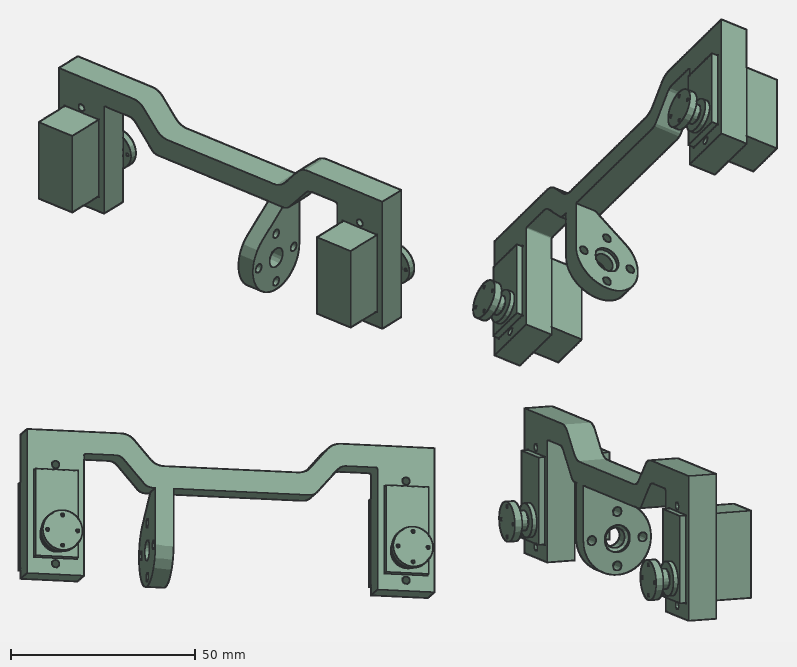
import cadquery as cq
import math


bracket_width = 113.6
bracket_height = 40.0
bracket_depth = 8.2
leg_width = 15.9
bar_thickness = 6.1
bar_drop = 8.5
slope_run = 7.5
top_slope_start = 28.4
under_slope_start = 26.0
top_bend_radius = 5.0
under_bend_radius = 3.0
leg_corner_radius = 0.6

lug_width = 5.1
lug_left = 15.9
lug_radius = 10.0
lug_tangent_angle = 53.0
lug_bore_diameter = 5.6
lug_counterbore_diameter = 7.5
lug_counterbore_depth = 0.9
lug_cone_depth = 0.6
lug_screw_diameter = 2.5
lug_screw_circle_radius = 7.5

servo_width = 11.8
servo_height = 24.1
servo_length = 21.0
servo_rear = bracket_depth + 1.7
servo_center_z = 16.7
shaft_offset = 6.1
servo_boss_diameter = 9.4
servo_boss_length = 1.4
shaft_diameter = 4.5
shaft_length = 2.3
window_clearance = 0.17
mount_hole_diameter = 2.0
mount_hole_spacing = 27.5

horn_disc_diameter = 11.0
horn_disc_thickness = 2.2
horn_hub_diameter = 5.6
horn_hub_length = 3.0
horn_hub_gap = 0.3
horn_hole_diameter = 0.86
horn_hole_circle_radius = 4.2

half_width = bracket_width / 2
leg_center_x = half_width - leg_width / 2
bar_top = bracket_height - bar_drop
bar_underside = bar_top - bar_thickness
arch_underside = bracket_height - bar_thickness
lug_center_y = bracket_depth - lug_radius
lug_center_z = lug_radius
shaft_z = servo_center_z - shaft_offset
boss_rear = servo_rear + servo_boss_length
leg_centers = (-leg_center_x, leg_center_x)


def cylinder_along_y(diameter, length, x, y, z):
    """Cylinder that starts at (x, y, z) and runs toward +Y."""
    return cq.Workplane(cq.Solid.makeCylinder(diameter / 2, length, cq.Vector(x, y, z), cq.Vector(0, 1, 0)))


def make_frame():
    """Legs and dipped bar, with its bends rounded."""
    top_outer = half_width - top_slope_start
    top_inner = top_outer - slope_run
    under_outer = half_width - under_slope_start
    under_inner = under_outer - slope_run
    leg_inner = half_width - leg_width
    right_half = [
        (top_inner, bar_top),
        (top_outer, bracket_height),
        (half_width, bracket_height),
        (half_width, 0),
        (leg_inner, 0),
        (leg_inner, arch_underside),
        (under_outer, arch_underside),
        (under_inner, bar_underside),
    ]
    left_half = [(-x, z) for x, z in reversed(right_half)]
    frame = cq.Workplane("XZ").polyline(right_half + left_half).close().extrude(-bracket_depth)

    def bend(workpiece, x, z, radius):
        corners = cq.selectors.BoxSelector((x - 0.1, -1.1, z - 0.1), (x + 0.1, bracket_depth + 1.1, z + 0.1))
        return workpiece.edges("|Y").edges(corners).fillet(radius)

    for side in (-1, 1):
        frame = bend(frame, side * top_outer, bracket_height, top_bend_radius)
        frame = bend(frame, side * top_inner, bar_top, top_bend_radius)
        frame = bend(frame, side * under_outer, arch_underside, under_bend_radius)
        frame = bend(frame, side * under_inner, bar_underside, under_bend_radius)
        frame = bend(frame, side * leg_inner, arch_underside, leg_corner_radius)
    return frame


def make_lug():
    """Teardrop lug with a counterbored bore and four screw holes around it."""
    angle = math.radians(lug_tangent_angle)
    tangent_y = lug_center_y - lug_radius * math.cos(angle)
    tangent_z = lug_center_z + lug_radius * math.sin(angle)
    root_y = tangent_y + (bar_underside - tangent_z) * math.tan(angle)
    lug = (
        cq.Workplane("YZ", origin=(lug_left, 0, 0))
        .moveTo(root_y, bar_underside)
        .lineTo(tangent_y, tangent_z)
        .threePointArc((lug_center_y, lug_center_z - lug_radius), (bracket_depth, lug_center_z))
        .lineTo(bracket_depth, bar_underside)
        .close()
        .extrude(lug_width)
    )
    left_face = cq.Workplane("YZ", origin=(lug_left, lug_center_y, lug_center_z))
    bore = left_face.circle(lug_bore_diameter / 2).extrude(lug_width)
    counterbore = left_face.circle(lug_counterbore_diameter / 2).extrude(lug_counterbore_depth)
    cone = cq.Workplane(
        cq.Solid.makeCone(
            lug_counterbore_diameter / 2,
            lug_bore_diameter / 2,
            lug_cone_depth,
            cq.Vector(lug_left + lug_counterbore_depth, lug_center_y, lug_center_z),
            cq.Vector(1, 0, 0),
        )
    )
    screw_holes = (
        left_face.polarArray(lug_screw_circle_radius, 0, 360, 4)
        .circle(lug_screw_diameter / 2)
        .extrude(lug_width)
    )
    return lug.cut(bore).cut(counterbore).cut(cone).cut(screw_holes)


def cut_servo_mount(bracket, x):
    """Window for a servo and the screw holes above and below it."""
    window = cq.Workplane("XY").box(
        servo_width + 2 * window_clearance,
        bracket_depth,
        servo_height + 2 * window_clearance,
    )
    bracket = bracket.cut(window.translate((x, bracket_depth / 2, servo_center_z)))
    for side in (-1, 1):
        hole_z = servo_center_z + side * mount_hole_spacing / 2
        bracket = bracket.cut(cylinder_along_y(mount_hole_diameter, bracket_depth, x, 0, hole_z))
    return bracket


def make_bracket():
    bracket = make_frame().union(make_lug())
    for x in leg_centers:
        bracket = cut_servo_mount(bracket, x)
    return bracket


def make_servo(x):
    """Servo case with a round boss and an output shaft at the rear."""
    case = cq.Workplane("XY").box(servo_width, servo_length, servo_height)
    case = case.translate((x, servo_rear - servo_length / 2, servo_center_z))
    boss = cylinder_along_y(servo_boss_diameter, servo_boss_length, x, servo_rear, shaft_z)
    shaft = cylinder_along_y(shaft_diameter, shaft_length, x, boss_rear, shaft_z)
    return case.union(boss).union(shaft)


def make_horn(x):
    """Hub with a blind socket for the servo shaft, and a drilled disc behind it."""
    hub_front = boss_rear + horn_hub_gap
    disc_front = hub_front + horn_hub_length
    hub = cylinder_along_y(horn_hub_diameter, horn_hub_length, x, hub_front, shaft_z)
    disc = cylinder_along_y(horn_disc_diameter, horn_disc_thickness, x, disc_front, shaft_z)
    socket = cylinder_along_y(shaft_diameter, shaft_length, x, boss_rear, shaft_z)
    horn = hub.union(disc).cut(socket)
    for quarter in range(4):
        angle = quarter * math.pi / 2
        hole_x = x + horn_hole_circle_radius * math.cos(angle)
        hole_z = shaft_z + horn_hole_circle_radius * math.sin(angle)
        horn = horn.cut(cylinder_along_y(horn_hole_diameter, horn_disc_thickness, hole_x, disc_front, hole_z))
    return horn


bracket = make_bracket()
servos = [make_servo(x) for x in leg_centers]
horns = [make_horn(x) for x in leg_centers]

result = cq.Compound.makeCompound([body.solids().val() for body in [bracket, *servos, *horns]])